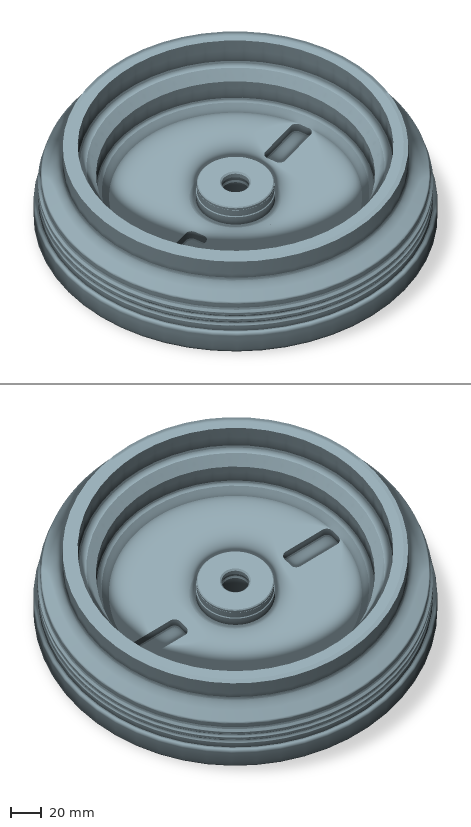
import cadquery as cq
import math

OUTER_RADIUS = 130.5
TOTAL_HEIGHT = 63.1
FLOOR_Z = 18.8

BAND_HEIGHT = 17.0
BAND_INNER_RADIUS = 125.2
BAND_TOP_FILLET = 2.0
BAND_BOTTOM_FILLET = 3.0

RIB_RADIUS = 255.2 / 2
VALLEY_RADIUS = 252.3 / 2
SHOULDER_RADIUS = 251.2 / 2
NECK_RADIUS = 223.0 / 2
RIM_RADIUS = 217.3 / 2
RIB_PITCH = 5.5
RIB_CREST_WIDTH = 2.0
RIB_FLANK = 1.3
RIB_FILLET = 0.5
RIB_COUNT = 2
LAND_TOP_Z = 21.5
RIBS_TOP_Z = LAND_TOP_Z + RIB_COUNT * RIB_PITCH + RIB_RADIUS - SHOULDER_RADIUS
NECK_BOTTOM_Z = 47.5
CONE_ANGLE = 30
SHOULDER_TOP_Z = NECK_BOTTOM_Z - (SHOULDER_RADIUS - NECK_RADIUS) * math.tan(math.radians(CONE_ANGLE))
SHOULDER_FILLET = 1.8
RIM_CHAMFER = 0.8

MOUTH_RADIUS = 203.8 / 2
LEDGE_RADIUS = 96.3
LEDGE_Z = 44.5
LEDGE_FILLET = 1.0
WELL_RADIUS = 180 / 2
STEP_Z = 23.5
STEP_FILLET = 0.8
STEP_RADIUS = 86.4
FLOOR_RADIUS = STEP_RADIUS - (STEP_Z - FLOOR_Z)

POCKET_WIDTH = 15.5
POCKET_LENGTH = 39.0
POCKET_DEPTH = 7.0
POCKET_CENTRE_Y = 62.0
POCKET_CORNER_RADIUS = 4.5
POCKET_FLOOR_CHAMFER = 0.8
CUT_CLEARANCE = 2.5

FLANGE_RADIUS = 70.0 / 2
RECESS_TOP_RADIUS = 29.7
RECESS_FLOOR_RADIUS = 27.1
RECESS_DEPTH = 1.0
POST_RADIUS = 25.5
POST_TOP_Z = 24.5
CAP_RADIUS = 50.0 / 2
POST_CHAMFER = POST_RADIUS - CAP_RADIUS
CAP_STEP_Z = 29.5
CAP_UPPER_RADIUS = 49.8 / 2
CAP_TOP_RADIUS = 48.5 / 2
CAP_CHAMFER = CAP_UPPER_RADIUS - CAP_TOP_RADIUS
HUB_TOP_Z = 31.8
BORE_RADIUS = 18.0 / 2
BORE_RIM_RADIUS = 20.0 / 2
BORE_CHAMFER = BORE_RIM_RADIUS - BORE_RADIUS
BORE_GROOVE_BOTTOM_Z = 24.5
BORE_GROOVE_TOP_Z = 26.5


def revolve_profile(points):
    """Revolve a closed outline of (radius, z) points about the Z axis."""
    return cq.Workplane("XZ").polyline(points).close().revolve(360, (0, 0), (0, 1))


def make_band():
    """Rounded band that wraps the foot of the housing."""
    disc = cq.Workplane("XY").circle(OUTER_RADIUS).extrude(BAND_HEIGHT)
    disc = disc.faces(">Z").edges().fillet(BAND_TOP_FILLET)
    disc = disc.faces("<Z").edges().fillet(BAND_BOTTOM_FILLET)
    return disc.cut(cq.Workplane("XY").circle(BAND_INNER_RADIUS).extrude(BAND_HEIGHT))


def rib_points():
    """Outline of the land and the ribs above it, from the bottom up."""
    points = [(RIB_RADIUS, BAND_HEIGHT), (RIB_RADIUS, LAND_TOP_Z)]
    for rib in range(1, RIB_COUNT + 1):
        crest_top = LAND_TOP_Z + rib * RIB_PITCH
        crest_bottom = crest_top - RIB_CREST_WIDTH
        points += [
            (VALLEY_RADIUS, crest_top - RIB_PITCH + RIB_FLANK),
            (VALLEY_RADIUS, crest_bottom - RIB_FLANK),
            (RIB_RADIUS, crest_bottom),
            (RIB_RADIUS, crest_top),
        ]
    points.append((SHOULDER_RADIUS, RIBS_TOP_Z))
    return points


def fillet_outer_edges(body, bottom_z, top_z, radius):
    """Round the outside corner circles whose heights lie between the two given."""
    corners = [
        edge
        for edge in body.edges("%CIRCLE").vals()
        if bottom_z < edge.Center().z < top_z and edge.radius() > MOUTH_RADIUS
    ]
    return body.newObject(corners).fillet(radius)


def make_pocket(side):
    """Tool for one floor pocket, with a chamfered bottom edge, on the +Y or -Y side."""
    return (
        cq.Workplane("XY", origin=(0, side * POCKET_CENTRE_Y, FLOOR_Z - POCKET_DEPTH))
        .rect(POCKET_WIDTH, POCKET_LENGTH)
        .extrude(POCKET_DEPTH + CUT_CLEARANCE)
        .edges("|Z")
        .fillet(POCKET_CORNER_RADIUS)
        .faces("<Z")
        .edges()
        .chamfer(POCKET_FLOOR_CHAMFER)
    )


def make_housing():
    """Stepped bowl with a ribbed outside and a hole for the hub."""
    outside = [(FLANGE_RADIUS, 0), (BAND_INNER_RADIUS, 0), (BAND_INNER_RADIUS, BAND_HEIGHT)]
    outside += rib_points()
    outside += [
        (SHOULDER_RADIUS, SHOULDER_TOP_Z),
        (NECK_RADIUS, NECK_BOTTOM_Z),
        (NECK_RADIUS, TOTAL_HEIGHT - RIM_CHAMFER),
        (RIM_RADIUS, TOTAL_HEIGHT),
    ]
    inside = [
        (MOUTH_RADIUS, TOTAL_HEIGHT),
        (MOUTH_RADIUS, LEDGE_Z + LEDGE_FILLET),
        (MOUTH_RADIUS - LEDGE_FILLET, LEDGE_Z),
        (LEDGE_RADIUS, LEDGE_Z),
        (WELL_RADIUS, LEDGE_Z - (LEDGE_RADIUS - WELL_RADIUS)),
        (WELL_RADIUS, STEP_Z + STEP_FILLET),
        (WELL_RADIUS - STEP_FILLET, STEP_Z),
        (STEP_RADIUS, STEP_Z),
        (FLOOR_RADIUS, FLOOR_Z),
        (FLANGE_RADIUS, FLOOR_Z),
    ]
    housing = revolve_profile(outside + inside)
    middle_of_neck_z = (NECK_BOTTOM_Z + TOTAL_HEIGHT) / 2
    below_shoulder_z = RIBS_TOP_Z - RIB_FILLET
    housing = fillet_outer_edges(housing, BAND_HEIGHT + RIB_FILLET, below_shoulder_z, RIB_FILLET)
    housing = fillet_outer_edges(housing, below_shoulder_z, middle_of_neck_z, SHOULDER_FILLET)
    for side in (-1, 1):
        housing = housing.cut(make_pocket(side))
    return housing


def make_hub():
    """Flanged hub with a recess around its post and a chamfered, grooved bore."""
    outside = [
        (BORE_RADIUS, 0),
        (FLANGE_RADIUS, 0),
        (FLANGE_RADIUS, FLOOR_Z),
        (RECESS_TOP_RADIUS, FLOOR_Z),
        (RECESS_FLOOR_RADIUS, FLOOR_Z - RECESS_DEPTH),
        (POST_RADIUS, FLOOR_Z - RECESS_DEPTH),
        (POST_RADIUS, POST_TOP_Z - POST_CHAMFER),
        (CAP_RADIUS, POST_TOP_Z),
        (CAP_RADIUS, CAP_STEP_Z),
        (CAP_UPPER_RADIUS, CAP_STEP_Z),
        (CAP_UPPER_RADIUS, HUB_TOP_Z - CAP_CHAMFER),
        (CAP_TOP_RADIUS, HUB_TOP_Z),
    ]
    bore = [
        (BORE_RIM_RADIUS, HUB_TOP_Z),
        (BORE_RADIUS, HUB_TOP_Z - BORE_CHAMFER),
        (BORE_RADIUS, BORE_GROOVE_TOP_Z + BORE_CHAMFER),
        (BORE_RIM_RADIUS, BORE_GROOVE_TOP_Z),
        (BORE_RIM_RADIUS, BORE_GROOVE_BOTTOM_Z),
        (BORE_RADIUS, BORE_GROOVE_BOTTOM_Z - BORE_CHAMFER),
    ]
    return revolve_profile(outside + bore)


band = make_band()
housing = make_housing()
hub = make_hub()

result = cq.Compound.makeCompound([housing.val(), band.val(), hub.val()])